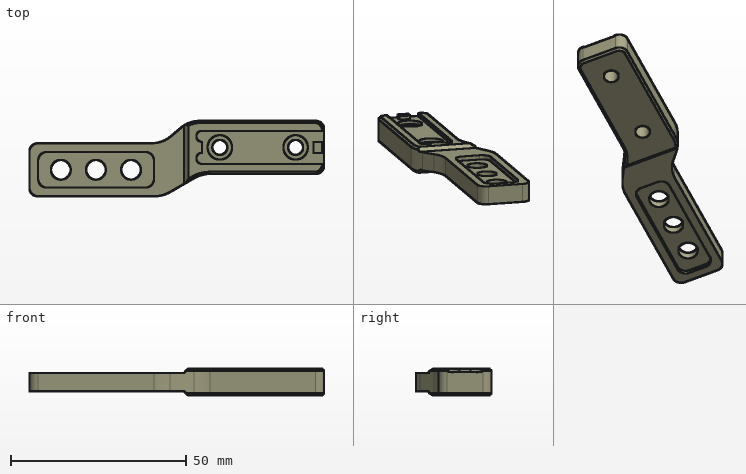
import cadquery as cq
import math

LENGTH = 84.15
WIDTH = 15.2
OFFSET = 6.4
BLOCK_HEIGHT = 7.65
ARM_HEIGHT = 5.3
CORNER_RADIUS = 2.5
EDGE_CHAMFER = 0.7
STEP_START = 44.2

LOW_BEND_X = 38.0
LOW_ANGLE = 30.0
LOW_RADIUS = 9.1
HIGH_BEND_X = 38.0
HIGH_ANGLE = 40.0
HIGH_RADIUS = 8.25

POCKET_WALL = 2.5
POCKET_LENGTH = 33.1
POCKET_DEPTH = 1.3
ARM_HOLE_DIAMETER = 5.55
ARM_HOLE_FIRST_X = 9.0
ARM_HOLE_PITCH = 10.0
ARM_HOLE_COUNT = 3

CHANNEL_START = 49.2
CHANNEL_WIDTH = 9.4
CHANNEL_DEPTH = 1.0
PAD_LENGTH = 2.35
BLOCK_HOLES_X = (54.4, 76.0)
BLOCK_HOLE_DIAMETER = 4.2
COUNTERBORE_DIAMETER = 7.0
COUNTERBORE_DEPTH = 1.0

half_width = WIDTH / 2
block_top = BLOCK_HEIGHT / 2
arm_top = ARM_HEIGHT / 2
step_height = block_top - arm_top
channel_floor = block_top - CHANNEL_DEPTH
lobe_diameter = CHANNEL_WIDTH / 3


def outline_prism():
    """Full-height plan outline with rounded corners and bends."""
    low_end_x = LOW_BEND_X + OFFSET / math.tan(math.radians(LOW_ANGLE))
    high_end_x = HIGH_BEND_X + OFFSET / math.tan(math.radians(HIGH_ANGLE))
    points = [
        (0, -half_width),
        (LOW_BEND_X, -half_width),
        (low_end_x, OFFSET - half_width),
        (LENGTH, OFFSET - half_width),
        (LENGTH, OFFSET + half_width),
        (high_end_x, OFFSET + half_width),
        (HIGH_BEND_X, half_width),
        (0, half_width),
    ]
    radii = [
        CORNER_RADIUS,
        LOW_RADIUS,
        LOW_RADIUS,
        CORNER_RADIUS,
        CORNER_RADIUS,
        HIGH_RADIUS,
        HIGH_RADIUS,
        CORNER_RADIUS,
    ]
    prism = cq.Workplane("XY", origin=(0, 0, -block_top)).polyline(points).close().extrude(BLOCK_HEIGHT)
    for (x, y), radius in zip(points, radii):
        prism = prism.edges(cq.selectors.NearestToPointSelector((x, y, 0))).fillet(radius)
    return prism


def side_profile():
    """Side outline that thins the arm and slopes up to the block, above and below."""
    step_end = STEP_START + step_height
    return (
        cq.Workplane("XZ")
        .polyline([
            (0, -arm_top),
            (STEP_START, -arm_top),
            (step_end, -block_top),
            (LENGTH, -block_top),
            (LENGTH, block_top),
            (step_end, block_top),
            (STEP_START, arm_top),
            (0, arm_top),
        ])
        .close()
        .extrude(2 * WIDTH, both=True)
    )


def arm_pockets():
    """Matching shallow pockets in the upper and lower faces of the arm."""
    upper = (
        cq.Workplane("XY", origin=(POCKET_WALL + POCKET_LENGTH / 2, 0, arm_top - POCKET_DEPTH))
        .rect(POCKET_LENGTH, WIDTH - 2 * POCKET_WALL)
        .extrude(POCKET_DEPTH)
        .edges("|Z")
        .fillet(CORNER_RADIUS)
    )
    return upper.union(upper.mirror("XY"))


def arm_holes():
    centers = [(ARM_HOLE_FIRST_X + i * ARM_HOLE_PITCH, 0) for i in range(ARM_HOLE_COUNT)]
    return (
        cq.Workplane("XY", origin=(0, 0, -arm_top))
        .pushPoints(centers)
        .circle(ARM_HOLE_DIAMETER / 2)
        .extrude(ARM_HEIGHT)
    )


def block_channel():
    """Channel open at the far end, with two round lobes at its closed end and a pad left standing."""
    floor = cq.Workplane("XY", origin=(0, OFFSET, channel_floor))
    length = LENGTH - CHANNEL_START
    channel = floor.center(CHANNEL_START + length / 2, 0).rect(length, CHANNEL_WIDTH).extrude(CHANNEL_DEPTH)
    lobes = (
        floor.pushPoints([(CHANNEL_START, lobe_diameter), (CHANNEL_START, -lobe_diameter)])
        .circle(lobe_diameter / 2)
        .extrude(CHANNEL_DEPTH)
    )
    pad_center = LENGTH - EDGE_CHAMFER - PAD_LENGTH / 2
    pad = floor.center(pad_center, 0).rect(PAD_LENGTH, lobe_diameter).extrude(CHANNEL_DEPTH)
    return channel.union(lobes).cut(pad)


def block_holes():
    centers = [(x, OFFSET) for x in BLOCK_HOLES_X]
    through = (
        cq.Workplane("XY", origin=(0, 0, -block_top))
        .pushPoints(centers)
        .circle(BLOCK_HOLE_DIAMETER / 2)
        .extrude(BLOCK_HEIGHT)
    )
    counterbores = (
        cq.Workplane("XY", origin=(0, 0, channel_floor - COUNTERBORE_DEPTH))
        .pushPoints(centers)
        .circle(COUNTERBORE_DIAMETER / 2)
        .extrude(COUNTERBORE_DEPTH)
    )
    return through.union(counterbores)


body = outline_prism().faces("<Z or >Z").chamfer(EDGE_CHAMFER).intersect(side_profile())
result = body.cut(arm_pockets()).cut(arm_holes()).cut(block_channel()).cut(block_holes())